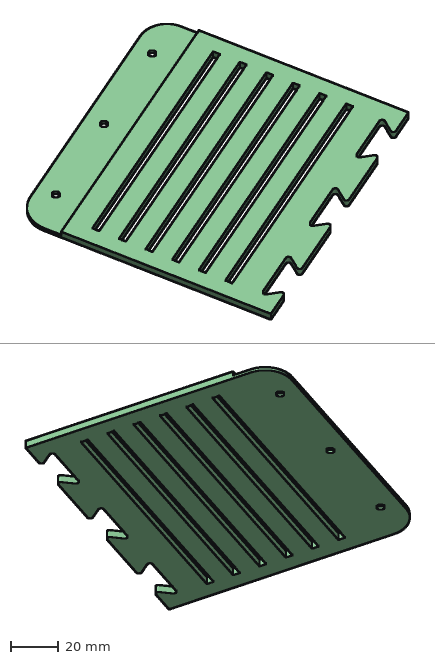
import cadquery as cq

length = 121.5
width = 127.0
thickness = 3.8

flange_length = 21.5
flange_thickness = 1.8
corner_radius = 13.0
hole_diameter = 3.4
hole_x = 9.0
hole_pitch = 44.5
hole_count = 3

slot_count = 6
slot_pitch = 12.7
slot_width = 3.2
slot_length = 111.4
first_slot_x = 33.9

notch_count = 3
notch_pitch = 43.2
notch_depth = 8.8
notch_mouth_width = 12.1
notch_root_width = 26.0
notch_rounding = 1.3


def centred_positions(count, pitch):
    """Evenly spaced positions balanced about zero."""
    return [(i - (count - 1) / 2) * pitch for i in range(count)]


def make_body():
    """Plate with a step down to a flange with rounded corners."""
    body = cq.Workplane("XY").box(length, width, thickness, centered=(False, True, False))
    body = body.edges("|Z and <X").fillet(corner_radius)
    step = (
        cq.Workplane("XY")
        .workplane(offset=flange_thickness)
        .rect(2 * flange_length, width)
        .extrude(thickness - flange_thickness)
    )
    return body.cut(step)


def make_holes():
    points = [(hole_x, y) for y in centred_positions(hole_count, hole_pitch)]
    return cq.Workplane("XY").pushPoints(points).circle(hole_diameter / 2).extrude(thickness)


def make_slots():
    points = [(first_slot_x + i * slot_pitch, 0) for i in range(slot_count)]
    return cq.Workplane("XY").pushPoints(points).rect(slot_width, slot_length).extrude(thickness)


def cut_notches(body):
    """Cut the dovetails, then round their root corners and mouth tips."""
    root_x = length - notch_depth
    root_half = notch_root_width / 2
    mouth_half = notch_mouth_width / 2
    for y in centred_positions(notch_count, notch_pitch):
        notch = (
            cq.Workplane("XY")
            .moveTo(root_x, y - root_half)
            .lineTo(length, y - mouth_half)
            .lineTo(length, y + mouth_half)
            .lineTo(root_x, y + root_half)
            .close()
            .extrude(thickness)
        )
        body = body.cut(notch)
        for side in (-1, 1):
            for x, half_width in ((root_x, root_half), (length, mouth_half)):
                corner = (x, y + side * half_width, thickness / 2)
                corner_edge = cq.selectors.NearestToPointSelector(corner)
                body = body.edges("|Z").edges(corner_edge).fillet(notch_rounding)
    return body


result = cut_notches(make_body()).cut(make_holes()).cut(make_slots())